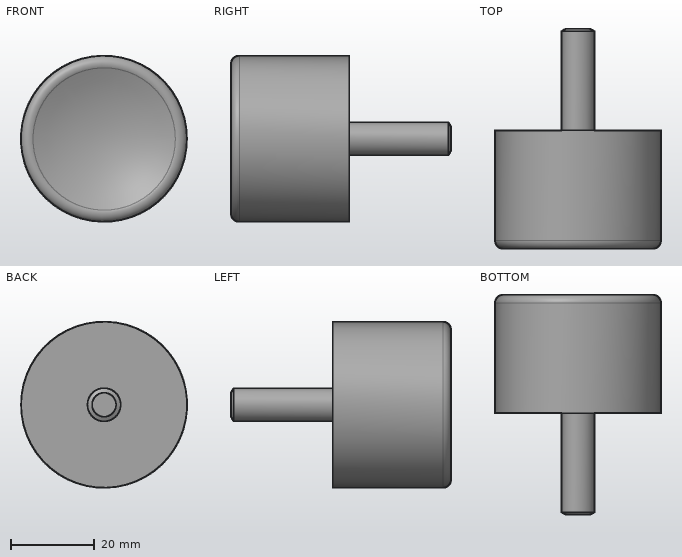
import cadquery as cq
import math

total_length = 53.0
body_diameter = 40.0
stud_length = 24.5
stud_diameter = 8.0
stud_chamfer_length = 0.65
stud_chamfer_depth = 1.1
rim_radius = 2.0
dish_radius = 40.0

body_radius = body_diameter / 2
stud_radius = stud_diameter / 2
body_length = total_length - stud_length

rim_centre_x = body_radius - rim_radius
tangent_angle = math.asin(rim_centre_x / (dish_radius + rim_radius))


def rim_point(angle):
    """Point on the rim arc, with the angle measured from -Y towards the axis."""
    x = rim_centre_x - rim_radius * math.sin(angle)
    y = rim_radius - rim_radius * math.cos(angle)
    return (x, y)


def dish_point(angle):
    """Point on the dish arc, with the angle measured from the axis."""
    centre_y = rim_radius - (dish_radius + rim_radius) * math.cos(tangent_angle)
    x = dish_radius * math.sin(angle)
    y = centre_y + dish_radius * math.cos(angle)
    return (x, y)


half_section = (
    cq.Workplane("XY")
    .moveTo(0, total_length)
    .lineTo(stud_radius - stud_chamfer_depth, total_length)
    .lineTo(stud_radius, total_length - stud_chamfer_length)
    .lineTo(stud_radius, body_length)
    .lineTo(body_radius, body_length)
    .lineTo(body_radius, rim_radius)
    .threePointArc(rim_point(0), rim_point(tangent_angle))
    .threePointArc(dish_point(tangent_angle / 2), dish_point(0))
    .close()
)

result = half_section.revolve(360, (0, 0, 0), (0, 1, 0))